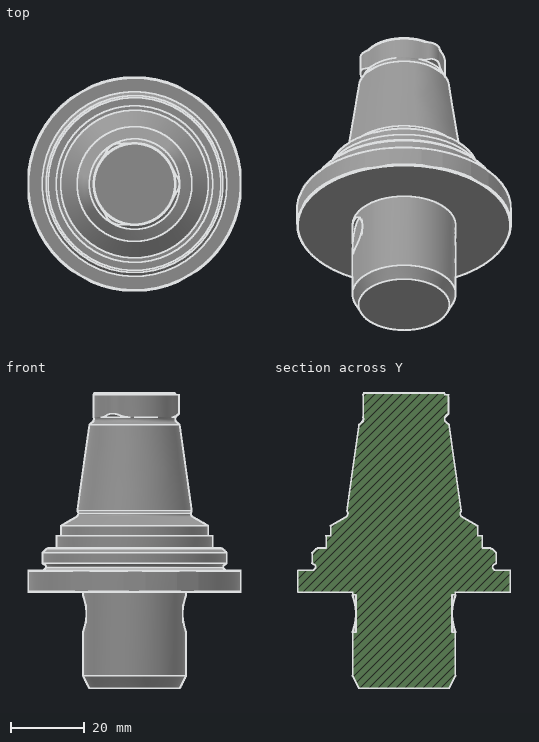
import cadquery as cq
import math

total_height = 80.0
flange_bottom = 26.0
flange_top = 32.0
rim_bottom = 33.8
rim_top = 38.0
collar_top = 41.3
body_top = 44.0
taper_bottom = 48.0
taper_top = 71.4
neck_bottom = 72.0
neck_waist = 72.8
head_bottom = 73.4

shank_radius = 14.0
shank_tip_radius = 12.3
shank_chamfer_height = 3.4
dimple_diameter = 10.0
dimple_height = 20.2
dimple_floor = 13.0

flange_radius = 29.0
flange_chamfer = 0.3
hex_flat_distance = 28.8
side_flat_distance = 28.85
hex_flat_angles = [0, 60, 120, 180, 240, 300]
side_flat_angles = [90, 270]

rim_radius = 25.0
rim_chamfer = 1.05
rim_groove_radius = 24.05
groove_fillet = 0.5
rim_underside_angle = 30.0
groove_foot_radius = 24.65
rim_crown_radius = 23.4
rim_crown_height = 0.25
collar_radius = 21.2
body_radius = 20.0
cone_angle = 60.0

taper_bottom_radius = 15.55
taper_top_radius = 12.25
relief_radius = 15.25
relief_fillet = 1.15
shoulder_radius = 11.5
neck_radius = 11.05

head_radius = 11.15
head_chamfer = 0.25
lug_reach = 12.1
lug_tip_radius = 3.75
lug_blend_radius = 18.0
lug_top_drop = 0.5
lug_angles = [0, 120, 240]
envelope_margin = 1.0


def make_body():
    """Everything turned about Z, up to the underside of the head."""
    tan_cone = math.tan(math.radians(cone_angle))
    cos_cone = math.cos(math.radians(cone_angle))
    sin_cone = math.sin(math.radians(cone_angle))

    fillet_center_r = relief_radius + relief_fillet
    fillet_end_r = fillet_center_r - relief_fillet * cos_cone
    fillet_end_z = body_top + (body_radius - fillet_end_r) / tan_cone
    fillet_center_z = fillet_end_z + relief_fillet * sin_cone
    half_turn = math.radians(cone_angle) / 2
    fillet_mid = (
        fillet_center_r - relief_fillet * math.cos(half_turn),
        fillet_center_z - relief_fillet * math.sin(half_turn),
    )

    slope = math.radians(rim_underside_angle)
    fillet_turn = math.pi / 2 - slope
    groove_fillet_r = rim_groove_radius + groove_fillet
    groove_fillet_top_r = groove_fillet_r - groove_fillet * math.cos(fillet_turn)
    groove_fillet_top_z = rim_bottom - (rim_radius - groove_fillet_top_r) * math.tan(slope)
    groove_fillet_z = groove_fillet_top_z - groove_fillet * math.sin(fillet_turn)
    groove_fillet_mid = (
        groove_fillet_r - groove_fillet * math.cos(fillet_turn / 2),
        groove_fillet_z + groove_fillet * math.sin(fillet_turn / 2),
    )
    groove_foot_top = flange_top + groove_foot_radius - rim_groove_radius

    rim_edge_z = rim_top - rim_crown_height

    profile = (
        cq.Workplane("XZ")
        .moveTo(0, 0)
        .lineTo(shank_tip_radius, 0)
        .lineTo(shank_radius, shank_chamfer_height)
        .lineTo(shank_radius, flange_bottom)
        .lineTo(groove_foot_radius, flange_bottom)
        .lineTo(groove_foot_radius, flange_top)
        .lineTo(rim_groove_radius, groove_foot_top)
        .lineTo(rim_groove_radius, groove_fillet_z)
        .threePointArc(groove_fillet_mid, (groove_fillet_top_r, groove_fillet_top_z))
        .lineTo(rim_radius, rim_bottom)
        .lineTo(rim_radius, rim_edge_z - rim_chamfer)
        .lineTo(rim_radius - rim_chamfer, rim_edge_z)
        .lineTo(rim_crown_radius, rim_top)
        .lineTo(collar_radius, rim_top)
        .lineTo(collar_radius, collar_top)
        .lineTo(body_radius, collar_top)
        .lineTo(body_radius, body_top)
        .lineTo(fillet_end_r, fillet_end_z)
        .threePointArc(fillet_mid, (relief_radius, fillet_center_z))
        .lineTo(taper_bottom_radius, taper_bottom)
        .lineTo(taper_top_radius, taper_top)
        .lineTo(shoulder_radius, neck_bottom)
        .threePointArc((neck_radius, neck_waist), (head_radius, head_bottom))
        .lineTo(0, head_bottom)
        .close()
    )
    return profile.revolve(360, (0, 0, 0), (0, 1, 0))


def make_flange():
    """Chamfered disc with a hexagon of flats and two more on the Y axis."""
    flange = (
        cq.Workplane("XY", origin=(0, 0, flange_bottom))
        .circle(flange_radius)
        .extrude(flange_top - flange_bottom)
        .edges()
        .chamfer(flange_chamfer)
    )
    flats = [(angle, hex_flat_distance) for angle in hex_flat_angles]
    flats += [(angle, side_flat_distance) for angle in side_flat_angles]
    for angle, distance in flats:
        cutter = (
            cq.Workplane("XY")
            .box(flange_radius, flange_radius, flange_top - flange_bottom, centered=(False, True, False))
            .translate((distance, 0, flange_bottom))
            .rotate((0, 0, 0), (0, 0, 1), angle)
        )
        flange = flange.cut(cutter)
    return flange


def polar(radius, degrees):
    """Cartesian point at a radius and an angle in degrees."""
    angle = math.radians(degrees)
    return radius * math.cos(angle), radius * math.sin(angle)


def lug_outline():
    """Closed outline of the head with one arc, two blends and a tip per lug."""
    tip_center = lug_reach - lug_tip_radius
    blend_reach = head_radius + lug_blend_radius
    tip_to_blend = lug_tip_radius + lug_blend_radius
    cos_blend = (blend_reach**2 + tip_center**2 - tip_to_blend**2) / (2 * blend_reach * tip_center)
    blend_angle = math.degrees(math.acos(cos_blend))
    blend_x, blend_y = polar(blend_reach, blend_angle)
    tip_angle = math.degrees(math.atan2(blend_y, blend_x - tip_center))
    tip_x, tip_y = polar(lug_tip_radius, tip_angle)
    tip_end_radius = math.hypot(tip_center + tip_x, tip_y)
    tip_end_angle = math.degrees(math.atan2(tip_y, tip_center + tip_x))
    arc_x, arc_y = polar(lug_blend_radius, (blend_angle + tip_angle) / 2)
    mid_x = blend_x - arc_x
    mid_y = blend_y - arc_y
    blend_mid_radius = math.hypot(mid_x, mid_y)
    blend_mid_angle = math.degrees(math.atan2(mid_y, mid_x))

    outline = cq.Workplane("XY").moveTo(*polar(head_radius, -blend_angle))
    pitch = 360 / len(lug_angles)
    for lug in lug_angles:
        outline = (
            outline
            .threePointArc(
                polar(blend_mid_radius, lug - blend_mid_angle),
                polar(tip_end_radius, lug - tip_end_angle),
            )
            .threePointArc(polar(lug_reach, lug), polar(tip_end_radius, lug + tip_end_angle))
            .threePointArc(
                polar(blend_mid_radius, lug + blend_mid_angle),
                polar(head_radius, lug + blend_angle),
            )
            .threePointArc(
                polar(head_radius, lug + pitch / 2),
                polar(head_radius, lug + pitch - blend_angle),
            )
        )
    return outline.close()


def make_head():
    """Round head with three lugs whose undersides slope at 45 degrees."""
    lug_top = total_height - lug_top_drop
    envelope_radius = lug_reach + envelope_margin
    lugs = lug_outline().extrude(total_height)
    envelope = (
        cq.Workplane("XZ")
        .moveTo(0, head_bottom)
        .lineTo(head_radius, head_bottom)
        .lineTo(envelope_radius, head_bottom + envelope_radius - head_radius)
        .lineTo(envelope_radius, lug_top)
        .lineTo(head_radius, lug_top)
        .lineTo(head_radius - head_chamfer, total_height)
        .lineTo(0, total_height)
        .close()
        .revolve(360, (0, 0, 0), (0, 1, 0))
    )
    return lugs.intersect(envelope)


def cut_dimples(part):
    """Flat-bottomed round dimples on the two X sides of the shank."""
    for side in (1, -1):
        cutter = (
            cq.Workplane("YZ", origin=(side * dimple_floor, 0, dimple_height))
            .circle(dimple_diameter / 2)
            .extrude(side * shank_radius)
        )
        part = part.cut(cutter)
    return part


result = cut_dimples(make_body()).union(make_flange()).union(make_head())